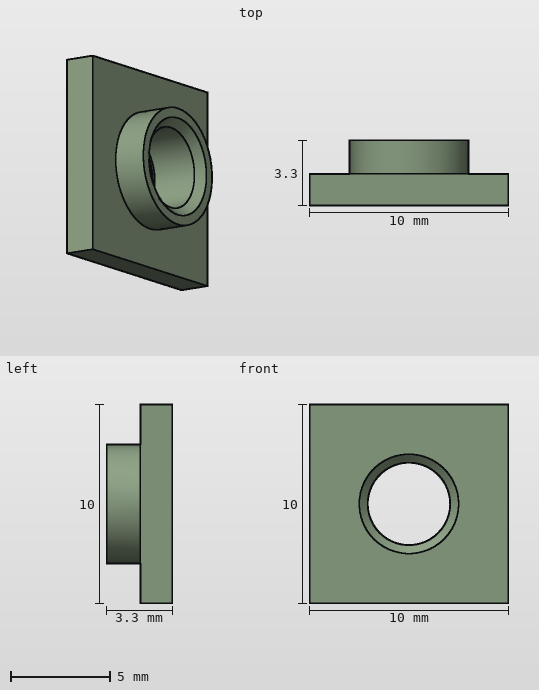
import cadquery as cq

plate_side = 10.0
plate_thickness = 1.6

boss_diameter = 6.0
boss_height = 1.7

hole_diameter = 4.134
countersink_diameter = 5.0

total_depth = plate_thickness + boss_height
hole_radius = hole_diameter / 2
countersink_radius = countersink_diameter / 2
countersink_depth = countersink_radius - hole_radius


def make_plate():
    """Square plate that grows from the XZ plane toward +Y."""
    return cq.Workplane("XZ").rect(plate_side, plate_side).extrude(-plate_thickness)


def make_boss():
    """Round boss standing on the +Y face of the plate."""
    return (
        cq.Workplane("XZ", origin=(0, plate_thickness, 0))
        .circle(boss_diameter / 2)
        .extrude(-boss_height)
    )


def make_hole_tool():
    """Hole volume with a cone at each end, revolved about the Y axis."""
    half_profile = [
        (0, 0),
        (0, countersink_radius),
        (countersink_depth, hole_radius),
        (total_depth - countersink_depth, hole_radius),
        (total_depth, countersink_radius),
        (total_depth, 0),
    ]
    return cq.Workplane("YZ").polyline(half_profile).close().revolve(360, (0, 0), (1, 0))


result = make_plate().union(make_boss()).cut(make_hole_tool())